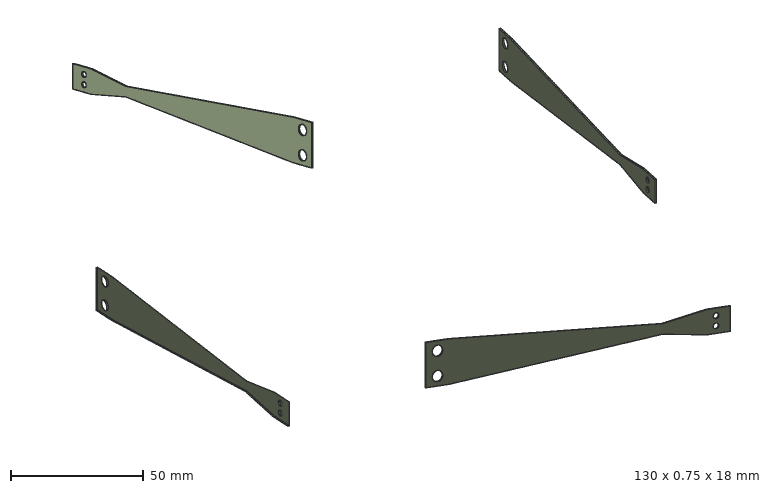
import cadquery as cq

length = 130.0
thickness = 0.75
tip_width = 10.0
neck_width = 4.2
root_width = 18.0

tip_end_x = 10.0
neck_x = 29.0
root_tab_length = 10.0
root_start_x = length - root_tab_length

tip_hole_x = 6.1
tip_hole_diameter = 2.3
tip_hole_spacing = 4.0
root_hole_x = length - root_tab_length / 2
root_hole_diameter = 4.4
root_hole_spacing = 10.0


def blade_plate():
    """Flat plate: tip tab, narrow neck, long flare and root tab, symmetric about X."""
    stations = [
        (0, tip_width),
        (tip_end_x, tip_width),
        (neck_x, neck_width),
        (root_start_x, root_width),
        (length, root_width),
    ]
    upper = [(x, width / 2) for x, width in stations]
    lower = [(x, -width / 2) for x, width in reversed(stations)]
    outline = cq.Workplane("XZ").polyline(upper + lower).close()
    return outline.extrude(thickness / 2, both=True)


def hole_pair(x, diameter, spacing):
    """Two cylinders along Y, evenly placed above and below the long axis."""
    centers = [(x, spacing / 2), (x, -spacing / 2)]
    drill = cq.Workplane("XZ").pushPoints(centers).circle(diameter / 2)
    return drill.extrude(thickness, both=True)


tip_holes = hole_pair(tip_hole_x, tip_hole_diameter, tip_hole_spacing)
root_holes = hole_pair(root_hole_x, root_hole_diameter, root_hole_spacing)

result = blade_plate().cut(tip_holes).cut(root_holes)